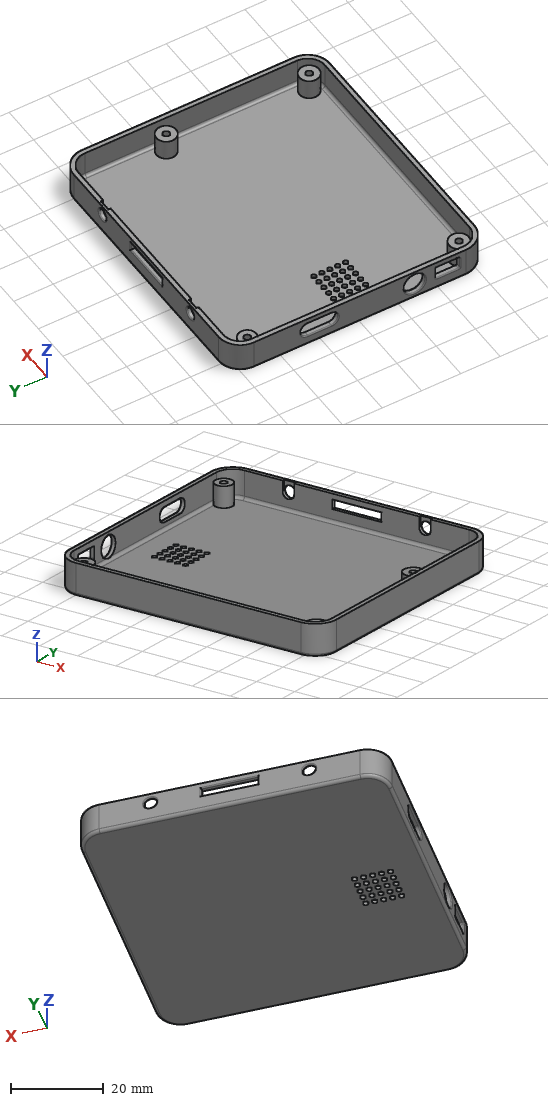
import cadquery as cq
LENGTH = 70.0
WIDTH = 65.0
HEIGHT = 7.8
WALL = 1.2
FLOOR = 1.05
CORNER_RADIUS = 5.5
OUTER_EDGE_RADIUS = 0.8
INNER_EDGE_RADIUS = 0.8

GRILLE_X = -22.75
GRILLE_Y = -2.5
GRILLE_COUNT = 5
GRILLE_PITCH = 2.0
GRILLE_HOLE_DIAMETER = 1.2

OPENING_EDGE_RADIUS = 0.245
OPENING_DEPTH = 2.1
SLOT_Y = 10.3
SLOT_Z = 4.55
SLOT_LENGTH = 9.5
SLOT_HEIGHT = 3.6
JACK_Y = -13.9
JACK_Z = 4.3
JACK_DIAMETER = 5.4
PORT_Y = -22.3
PORT_Z = 4.7
PORT_LENGTH = 6.1
PORT_HEIGHT = 3.15
PORT_CORNER_RADIUS = 0.3

BACK_Z = 5.25
CARD_LENGTH = 12.9
CARD_HEIGHT = 2.25
BUTTON_X = 17.9
BUTTON_DIAMETER = 3.0
BUTTON_SKIN = 0.6

POST_TOP = 6.15
POST_HOLE_DIAMETER = 1.7
LARGE_POST_DIAMETER = 5.0
SMALL_POST_DIAMETER = 4.5
FRONT_POST_X = 30.5
FRONT_POST_Y = -28.0
RIGHT_POST_X = 31.0
RIGHT_POST_Y = 8.05
BACK_POST_X = -31.5
BACK_POST_Y = 26.45
POSTS = [
    (-FRONT_POST_X, FRONT_POST_Y, LARGE_POST_DIAMETER),
    (FRONT_POST_X, FRONT_POST_Y, LARGE_POST_DIAMETER),
    (RIGHT_POST_X, RIGHT_POST_Y, LARGE_POST_DIAMETER),
    (BACK_POST_X, BACK_POST_Y, SMALL_POST_DIAMETER),
]


def rounded_block(length, width, height, corner_radius, bottom_radius):
    """Block standing on Z = 0 with rounded vertical corners and bottom rim."""
    block = cq.Workplane("XY").box(length, width, height, centered=(True, True, False))
    return block.edges("|Z").fillet(corner_radius).faces("<Z").edges().fillet(bottom_radius)


def make_tray():
    outside = rounded_block(LENGTH, WIDTH, HEIGHT, CORNER_RADIUS, OUTER_EDGE_RADIUS)
    cavity = rounded_block(
        LENGTH - 2 * WALL, WIDTH - 2 * WALL, HEIGHT - FLOOR, CORNER_RADIUS - WALL, INNER_EDGE_RADIUS
    )
    return outside.cut(cavity.translate((0, 0, FLOOR)))


def make_grille_holes():
    return (
        cq.Workplane("XY")
        .center(GRILLE_X, GRILLE_Y)
        .rarray(GRILLE_PITCH, GRILLE_PITCH, GRILLE_COUNT, GRILLE_COUNT)
        .circle(GRILLE_HOLE_DIAMETER / 2)
        .extrude(FLOOR)
    )


def left_wall_sketch(y, z):
    """Workplane on the outside of the left wall, facing into the housing; its local x is -Y."""
    return cq.Workplane(cq.Plane(origin=(-LENGTH / 2, y, z), xDir=(0, -1, 0), normal=(1, 0, 0)))


def back_wall_sketch(x):
    """Workplane on the inside of the back wall, facing outwards, at the height of the openings."""
    origin = (x, WIDTH / 2 - WALL, BACK_Z)
    return cq.Workplane(cq.Plane(origin=origin, xDir=(-1, 0, 0), normal=(0, 1, 0)))


def round_rims(housing, face):
    """Round the edges of the openings where they meet the given outer face of the housing."""
    rims = [
        edge
        for wire in housing.faces(face).val().innerWires()
        for edge in wire.Edges()
    ]
    return housing.newObject(rims).fillet(OPENING_EDGE_RADIUS)


def cut_left_openings(housing):
    slot = left_wall_sketch(SLOT_Y, SLOT_Z).slot2D(SLOT_LENGTH, SLOT_HEIGHT).extrude(OPENING_DEPTH)
    jack = left_wall_sketch(JACK_Y, JACK_Z).circle(JACK_DIAMETER / 2).extrude(OPENING_DEPTH)
    port = left_wall_sketch(PORT_Y, PORT_Z).rect(PORT_LENGTH, PORT_HEIGHT).extrude(OPENING_DEPTH)
    port = port.edges("|X").fillet(PORT_CORNER_RADIUS)
    return round_rims(housing.cut(slot).cut(jack).cut(port), "<X")


def make_button_hole(x):
    """Round hole through the back wall, with a recess inside that runs up to the rim."""
    hole = back_wall_sketch(x).circle(BUTTON_DIAMETER / 2).extrude(WALL)
    to_rim = HEIGHT - BACK_Z
    recess = (
        back_wall_sketch(x)
        .center(0, to_rim / 2)
        .rect(BUTTON_DIAMETER, to_rim)
        .extrude(WALL - BUTTON_SKIN)
    )
    return hole.union(recess)


def cut_back_openings(housing):
    housing = housing.cut(back_wall_sketch(0).rect(CARD_LENGTH, CARD_HEIGHT).extrude(WALL))
    for x in (-BUTTON_X, BUTTON_X):
        housing = housing.cut(make_button_hole(x))
    return round_rims(housing, ">Y")


def make_post(x, y, diameter):
    """Hollow post standing on the floor."""
    return (
        cq.Workplane("XY", origin=(x, y, FLOOR))
        .circle(diameter / 2)
        .circle(POST_HOLE_DIAMETER / 2)
        .extrude(POST_TOP - FLOOR)
    )


def make_post_seat(x, y, diameter):
    """Room for a post where it stands in the rounding between floor and walls."""
    return cq.Workplane("XY", origin=(x, y, FLOOR)).circle(diameter / 2).extrude(POST_TOP - FLOOR)


def make_housing():
    housing = make_tray().cut(make_grille_holes())
    housing = cut_left_openings(housing)
    housing = cut_back_openings(housing)
    for post in POSTS:
        housing = housing.cut(make_post_seat(*post))
    return housing


housing = make_housing()
posts = [make_post(*post) for post in POSTS]

result = cq.Compound.makeCompound([housing.val(), *[post.val() for post in posts]])